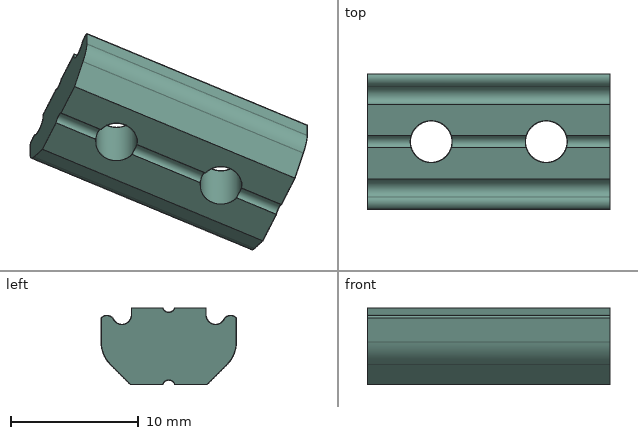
import cadquery as cq
import math

length = 19.0
width = 10.6
height = 6.0

crown_width = 5.85
base_width = 6.0
channel_radius = 0.75
channel_center_depth = 0.55
lip_peak_depth = 0.59
lip_peak_y = 4.85
flank_radius = 2.5

groove_width = 0.93
groove_depth = 0.35

hole_diameter = 3.25
hole_spacing = 9.0

half_width = width / 2
half_crown = crown_width / 2
half_base = base_width / 2
top_z = height / 2
bottom_z = -height / 2


def point_on_circle(center, radius, angle):
    """Point at the given angle in radians, measured from +Y towards +Z."""
    return (center[0] + radius * math.cos(angle), center[1] + radius * math.sin(angle))


def half_body():
    """Solid of the +Y half of the profile, without grooves or holes."""
    channel_center = (half_crown + channel_radius, top_z - channel_center_depth)
    channel_bottom = (channel_center[0], channel_center[1] - channel_radius)

    offset_y = lip_peak_y - channel_center[0]
    offset_z = channel_center_depth - lip_peak_depth
    lip_radius = (offset_y**2 + offset_z**2 - channel_radius**2) / (2 * (channel_radius + offset_z))
    lip_peak = (lip_peak_y, top_z - lip_peak_depth)
    lip_center = (lip_peak[0], lip_peak[1] - lip_radius)
    tangent_angle = math.atan2(lip_center[1] - channel_center[1], offset_y)
    tangent_point = point_on_circle(channel_center, channel_radius, tangent_angle)
    lip_edge_angle = math.acos((half_width - lip_peak_y) / lip_radius)
    lip_edge = point_on_circle(lip_center, lip_radius, lip_edge_angle)

    flank_corner_z = bottom_z + half_width - half_base
    blend_start_z = flank_corner_z + flank_radius * math.tan(math.pi / 8)
    blend_center = (half_width - flank_radius, blend_start_z)
    blend_middle = point_on_circle(blend_center, flank_radius, -math.pi / 8)
    blend_end = point_on_circle(blend_center, flank_radius, -math.pi / 4)

    return (
        cq.Workplane("YZ", origin=(-length / 2, 0, 0))
        .moveTo(0, top_z)
        .lineTo(half_crown, top_z)
        .lineTo(half_crown, channel_center[1])
        .threePointArc(channel_bottom, tangent_point)
        .threePointArc(lip_peak, lip_edge)
        .lineTo(half_width, blend_start_z)
        .threePointArc(blend_middle, blend_end)
        .lineTo(half_base, bottom_z)
        .lineTo(0, bottom_z)
        .close()
        .extrude(length)
    )


def top_groove():
    """Cutter for a circular-arc groove in the top face."""
    half_groove = groove_width / 2
    return (
        cq.Workplane("YZ", origin=(-length / 2, 0, 0))
        .moveTo(-half_groove, top_z)
        .threePointArc((0, top_z - groove_depth), (half_groove, top_z))
        .close()
        .extrude(length)
    )


def holes():
    """Cutters for the two through holes."""
    return (
        cq.Workplane("XY", origin=(0, 0, bottom_z))
        .pushPoints([(-hole_spacing / 2, 0), (hole_spacing / 2, 0)])
        .circle(hole_diameter / 2)
        .extrude(height)
    )


half = half_body()
body = half.union(half.mirror("XZ")).clean()
groove = top_groove()
result = body.cut(groove).cut(groove.mirror("XY")).cut(holes())